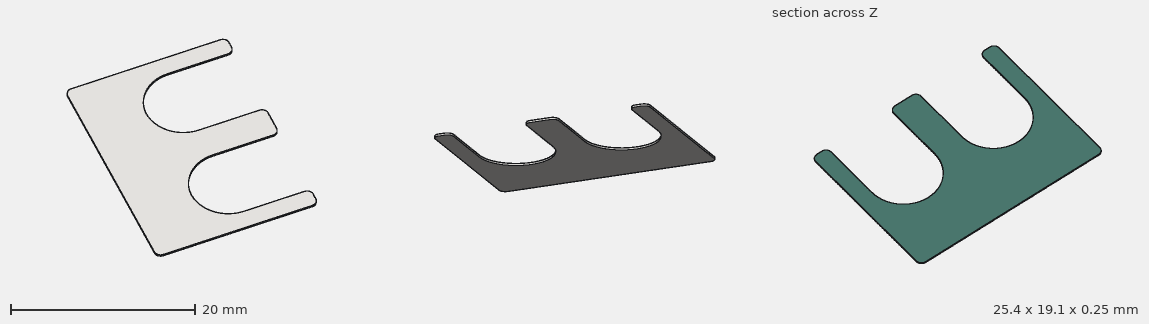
import cadquery as cq

length = 25.4
width = 19.05
thickness = 0.25
corner_radius = 0.74

slot_width = 8.64
slot_pitch = 12.45
slot_depth = 12.2

slot_radius = slot_width / 2
top_edge = width / 2
slot_center_y = top_edge - slot_depth + slot_radius


def slot_cutter(center_x):
    """Solid of one slot: straight sides from the +Y edge, ending in a half circle."""
    left = center_x - slot_radius
    right = center_x + slot_radius
    return (
        cq.Workplane("XY")
        .moveTo(left, top_edge)
        .lineTo(left, slot_center_y)
        .threePointArc((center_x, slot_center_y - slot_radius), (right, slot_center_y))
        .lineTo(right, top_edge)
        .close()
        .extrude(thickness)
    )


plate = cq.Workplane("XY").rect(length, width).extrude(thickness)
for side in (-1, 1):
    plate = plate.cut(slot_cutter(side * slot_pitch / 2))

outer_corners = plate.edges("|Z and (>Y or <Y)")
result = outer_corners.fillet(corner_radius)